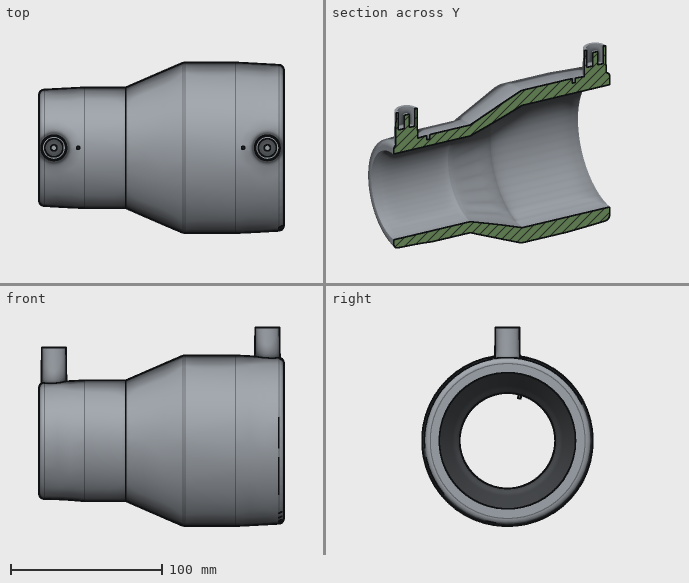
import cadquery as cq

length = 162.0
small_radius = 80.0 / 2
large_radius = 113.0 / 2
small_bore_radius = 63.0 / 2
large_bore_radius = 90.0 / 2
small_mouth_radius = 38.4
large_mouth_radius = 54.8
end_fillet = 3.7
small_taper_end = 29.8
cone_start = 57.5
cone_end = 95.0
shoulder_end = 96.4
shoulder_drop = 0.3
large_taper_start = 129.6

small_tower_x = 9.9
small_tower_top = 61.7
large_tower_x = 151.0
large_tower_top = 75.0
tower_base_radius = 8.5
tower_top_radius = 8.1
tower_rim_chamfer = 0.3
cup_radius = 12.0 / 2
cup_depth = 13.0
contact_radius = 4.0 / 2
contact_drop = 3.0
tower_root_depth = 3.2

indicator_radius = 2.0 / 2
indicator_depth = 3.2
small_indicator_x = 26.0
large_indicator_x = 135.0

stop_radius = 2.0 / 2
stop_tip = 29.0
stop_root_depth = 3.2
stop_angle = 15.5


def make_shell():
    """Revolved wall with tapered, rounded socket ends."""
    outline = (
        cq.Workplane("XY")
        .moveTo(0, 0)
        .lineTo(0, small_mouth_radius)
        .lineTo(small_taper_end, small_radius)
        .lineTo(cone_start, small_radius)
        .lineTo(cone_end, large_radius - shoulder_drop)
        .lineTo(shoulder_end, large_radius)
        .lineTo(large_taper_start, large_radius)
        .lineTo(length, large_mouth_radius)
        .lineTo(length, 0)
        .close()
    )
    outer = outline.revolve(360, (0, 0, 0), (1, 0, 0))
    return outer.faces("<X or >X").edges().fillet(end_fillet)


def make_bore():
    """Small and large sockets joined by a cone."""
    profile = (
        cq.Workplane("XY")
        .moveTo(0, 0)
        .lineTo(0, small_bore_radius)
        .lineTo(cone_start, small_bore_radius)
        .lineTo(shoulder_end, large_bore_radius)
        .lineTo(length, large_bore_radius)
        .lineTo(length, 0)
        .close()
    )
    return profile.revolve(360, (0, 0, 0), (1, 0, 0))


def make_tower(x, top, body_radius):
    """Drafted cup with its contact pin, rooted in the body wall."""
    root = body_radius - tower_root_depth
    tower = (
        cq.Workplane("XY", origin=(x, 0, root))
        .circle(tower_base_radius)
        .workplane(offset=top - root)
        .circle(tower_top_radius)
        .loft()
        .faces(">Z")
        .edges()
        .chamfer(tower_rim_chamfer)
    )
    cup_floor = top - cup_depth
    cup = cq.Workplane("XY", origin=(x, 0, cup_floor)).circle(cup_radius).extrude(cup_depth)
    contact = (
        cq.Workplane("XY", origin=(x, 0, root))
        .circle(contact_radius)
        .extrude(top - contact_drop - root)
    )
    return tower.cut(cup).union(contact)


def make_indicator(x, mouth_radius, body_radius, taper_fraction):
    """Cutter for a blind hole down from the tapered surface."""
    surface = mouth_radius + (body_radius - mouth_radius) * taper_fraction
    return (
        cq.Workplane("XY", origin=(x, 0, surface - indicator_depth))
        .circle(indicator_radius)
        .extrude(2 * indicator_depth)
    )


def make_stop():
    """Radial pin at the inner end of the small socket."""
    root = small_bore_radius + stop_root_depth
    pin = (
        cq.Workplane("XY", origin=(cone_start - stop_radius, 0, stop_tip))
        .circle(stop_radius)
        .extrude(root - stop_tip)
    )
    return pin.rotate((0, 0, 0), (1, 0, 0), -stop_angle)


small_taper_fraction = small_indicator_x / small_taper_end
large_taper_fraction = (length - large_indicator_x) / (length - large_taper_start)

body = make_shell()
body = body.union(make_tower(small_tower_x, small_tower_top, small_mouth_radius))
body = body.union(make_tower(large_tower_x, large_tower_top, large_mouth_radius))
body = body.cut(make_bore())
body = body.cut(make_indicator(small_indicator_x, small_mouth_radius, small_radius, small_taper_fraction))
body = body.cut(make_indicator(large_indicator_x, large_mouth_radius, large_radius, large_taper_fraction))
result = body.union(make_stop())